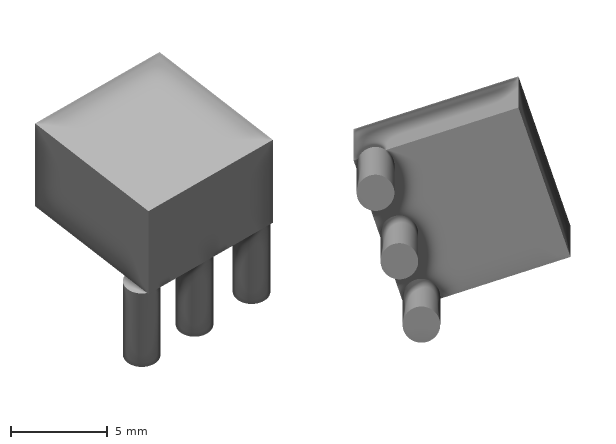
import cadquery as cq

total_height = 10.85
housing_width = 9.0
housing_depth = 8.5

pin_diameter = 1.95
pin_length = 5.1
front_overhang = 0.58
front_pin_pitch = 3.6
back_pin_pitch = 3.9
side_inset = 0.02

housing_height = total_height - pin_length
pin_radius = pin_diameter / 2

pin_x = housing_width / 2 - side_inset - pin_radius
front_pin_y = -housing_depth / 2 - front_overhang + pin_radius
middle_pin_y = front_pin_y + front_pin_pitch
back_pin_y = middle_pin_y + back_pin_pitch


def make_housing():
    """Plain block with its underside at Z = 0."""
    return cq.Workplane("XY").box(
        housing_width, housing_depth, housing_height, centered=(True, True, False)
    )


def make_pin(pin_y):
    """Round pin hanging down from the underside of the housing."""
    return cq.Workplane("XY").center(pin_x, pin_y).circle(pin_radius).extrude(-pin_length)


housing = make_housing()
pins = [make_pin(pin_y) for pin_y in (front_pin_y, middle_pin_y, back_pin_y)]

result = cq.Compound.makeCompound([housing.val(), *[pin.val() for pin in pins]])